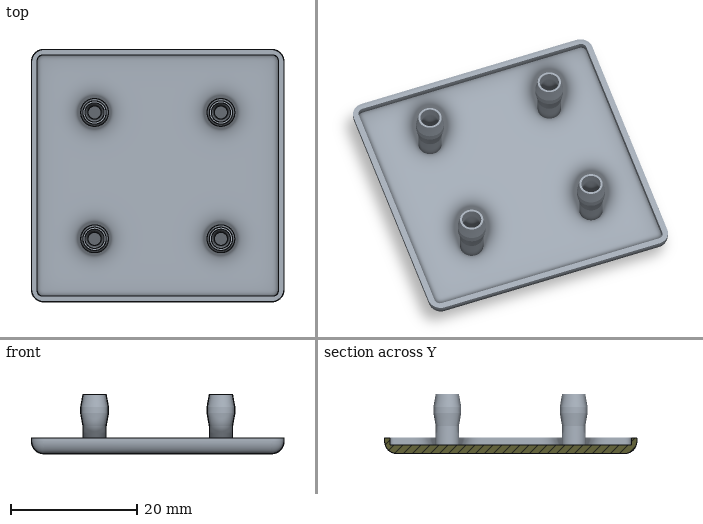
import cadquery as cq

side = 40.0
cap_height = 2.5
corner_radius = 2.0
bottom_round = 2.0

rim_width = 0.9
recess_depth = 1.1
recess_corner_radius = 0.9
floor_z = cap_height - recess_depth

post_spacing = 20.0
post_top = 9.4
post_radius = 1.85
bulge_radius = 2.2
bulge_start = 4.4
bulge_low = 6.4
bulge_high = 7.4

bore_mouth_radius = 1.5
bore_floor_radius = 1.05


def make_cap():
    body = (
        cq.Workplane("XY")
        .rect(side, side)
        .extrude(cap_height)
        .edges("|Z")
        .fillet(corner_radius)
        .faces("<Z")
        .edges()
        .fillet(bottom_round)
    )
    recess_side = side - 2 * rim_width
    recess = (
        cq.Workplane("XY")
        .workplane(offset=floor_z)
        .rect(recess_side, recess_side)
        .extrude(recess_depth)
        .edges("|Z")
        .fillet(recess_corner_radius)
    )
    return body.cut(recess)


def make_post():
    return (
        cq.Workplane("XZ")
        .moveTo(bore_floor_radius, floor_z)
        .lineTo(post_radius, floor_z)
        .lineTo(post_radius, bulge_start)
        .lineTo(bulge_radius, bulge_low)
        .lineTo(bulge_radius, bulge_high)
        .lineTo(post_radius, post_top)
        .lineTo(bore_mouth_radius, post_top)
        .close()
        .revolve(360, (0, 0, 0), (0, 1, 0))
    )


result = make_cap()
post = make_post()
for x_sign in (-1, 1):
    for y_sign in (-1, 1):
        offset = (x_sign * post_spacing / 2, y_sign * post_spacing / 2, 0)
        result = result.union(post.translate(offset))